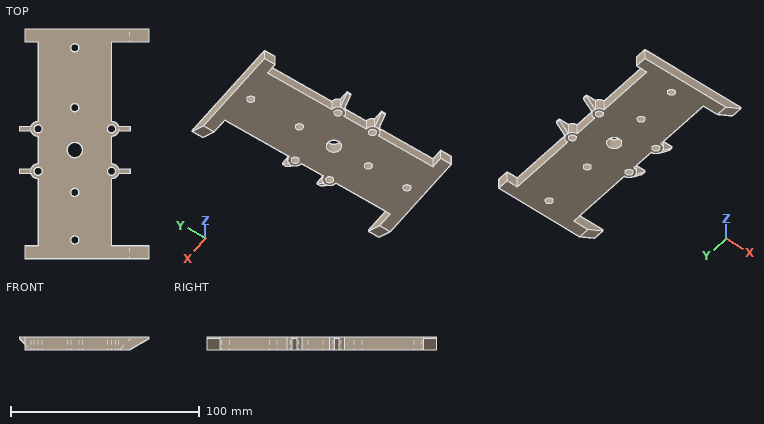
import cadquery as cq
import math


thickness = 7.0
plate_width = 39.0
total_length = 122.0
back_edge_y = 64.25
front_edge_y = back_edge_y - total_length

arm_width = 7.0
arm_left_x = -26.5
arm_right_x = 39.5
tip_height = 1.0
arm_slope_from_horizontal = 30.0

centre_hole_diameter = 8.0
small_hole_diameter = 4.2
centreline_hole_ys = (54.25, 22.5, -22.5, -47.75)

boss_diameter = 8.0
boss_x = plate_width / 2
boss_y = 11.25
tab_width = 2.5
tab_tip_x = 29.49
boss_centres = [(x, y) for x in (-boss_x, boss_x) for y in (-boss_y, boss_y)]


def extrude_profile_along_y(points, centre_y, width):
    """Solid with an XZ profile, spanning width about centre_y."""
    profile = cq.Workplane("XZ", origin=(0, centre_y, 0)).polyline(points).close()
    return profile.extrude(width / 2, both=True)


def make_plate():
    plate = cq.Workplane("XY").box(
        plate_width, total_length, thickness, centered=(True, False, False)
    )
    return plate.translate((0, front_edge_y, -thickness))


def make_arm(centre_y):
    """Full-depth bar whose right end slopes up to a thin tip."""
    slope_run = (thickness - tip_height) / math.tan(math.radians(arm_slope_from_horizontal))
    points = [
        (arm_left_x, 0),
        (arm_right_x, 0),
        (arm_right_x, -tip_height),
        (arm_right_x - slope_run, -thickness),
        (arm_left_x, -thickness),
    ]
    return extrude_profile_along_y(points, centre_y, arm_width)


def make_tab(side, centre_y):
    """Tab from a boss centre outward, with a 45 degree underside; side is -1 or +1."""
    slope_run = thickness - tip_height
    points = [
        (side * boss_x, 0),
        (side * tab_tip_x, 0),
        (side * tab_tip_x, -tip_height),
        (side * (tab_tip_x - slope_run), -thickness),
        (side * boss_x, -thickness),
    ]
    return extrude_profile_along_y(points, centre_y, tab_width)


def make_through_cylinders(centres, diameter):
    return cq.Workplane("XY").pushPoints(centres).circle(diameter / 2).extrude(-thickness)


body = make_plate()
for arm_y in (front_edge_y + arm_width / 2, back_edge_y - arm_width / 2):
    body = body.union(make_arm(arm_y))

body = body.union(make_through_cylinders(boss_centres, boss_diameter))
for tab_side in (-1, 1):
    for tab_y in (-boss_y, boss_y):
        body = body.union(make_tab(tab_side, tab_y))

small_hole_centres = boss_centres + [(0, y) for y in centreline_hole_ys]
body = body.cut(make_through_cylinders(small_hole_centres, small_hole_diameter))
result = body.cut(make_through_cylinders([(0, 0)], centre_hole_diameter))